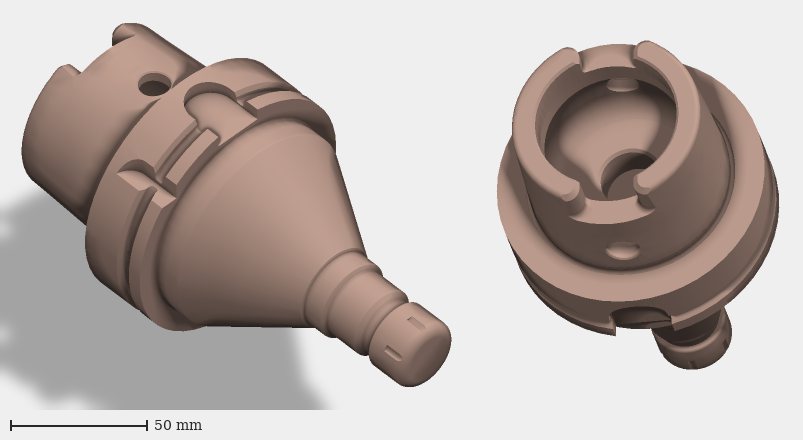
import cadquery as cq
import math

OVERALL_LENGTH = 180.0

NOSE_RADIUS = 35.3
TAPER_END_RADIUS = 37.6
TAPER_END_X = 47.0
NOSE_EDGE_FILLET = 2.0

RELIEF_NECK_RADIUS = 37.5
RELIEF_NECK_START_X = 47.5
RELIEF_NECK_END_X = 49.1
RELIEF_DEPTH = 0.7
RELIEF_OUTER_RADIUS = 39.0

FLANGE_RADIUS = 50.0
FLANGE_START_X = 50.0
FLANGE_END_X = 79.0
GROOVE_MOUTH_START_X = 66.8
GROOVE_MOUTH_END_X = 73.3
GROOVE_HALF_ANGLE = 30.0
GROOVE_SLOT_START_X = 67.9
GROOVE_SLOT_END_X = 71.6
GROOVE_FLOOR_RADIUS = 45.9
GROOVE_FILLET = 1.0

COLLAR_RADIUS = 41.4
COLLAR_ROOT_FILLET = 0.9
CONE_START_X = 89.6
CONE_EDGE_FILLET = 1.5
CONE_END_X = 130.1
CONE_END_RADIUS = 17.3
STEM_START_X = 130.7
STEM_RADIUS = 16.0
STEM_END_X = 139.3
BARREL_RADIUS = 14.0
BARREL_START_X = 140.8
BARREL_END_X = 155.0
NECK_RADIUS = 11.9
NECK_START_X = 157.5
STEP_FILLET = 0.7

BORE_RADIUS = 26.5
BORE_LIP = 0.9
BORE_END_X = 19.5
CHAMBER_RADIUS = 32.0
CHAMBER_FLOOR_X = 48.6
CHAMBER_FLOOR_FILLET = 7.5
PILOT_RADIUS = 11.2
PILOT_CHAMFER = 1.0
PILOT_DEPTH = 14.4

CROSS_HOLE_X = 35.0
CROSS_HOLE_RADIUS = 6.1
CROSS_HOLE_CHAMFER = 0.5

DRIVE_SLOT_WIDTH = 20.2
DRIVE_SLOT_FLARE_RADIUS = 4.9
DRIVE_SLOT_FLARE_START_Z = 27.0
DRIVE_SLOT_FLOOR_FILLET = 2.0
DRIVE_SLOT_MOUTH_CHAMFER = 2.0
DRIVE_SLOT_CHAMFER_ANGLE = 45.0
UPPER_DRIVE_SLOT_DEPTH = 9.9
LOWER_DRIVE_SLOT_DEPTH = 15.0

UPPER_KEYWAY_WIDTH = 20.0
LOWER_KEYWAY_WIDTH = 22.0
KEYWAY_START_X = 54.7
KEYWAY_FLOOR_Z = 44.0
NOTCH_FLOOR_Z = 31.9
NOTCH_WALL_Y = -31.3
NOTCH_END_RADIUS = 8.1

NUT_RADIUS = 14.0
NUT_START_X = 162.2
NUT_REAR_FILLET = 1.0
NUT_FRONT_FILLET = 4.3
WRENCH_SLOT_COUNT = 6
WRENCH_SLOT_RADIUS = 1.8
WRENCH_SLOT_START_X = 169.7
WRENCH_SLOT_DEPTH = 0.7

TOLERANCE = 0.02


def turned(profile):
    """Revolve a closed XY half-profile about the X axis."""
    return profile.close().revolve(360, (0, 0, 0), (1, 0, 0))


def round_ring(body, ring_x, radius):
    """Round the turned edge at a given place along X."""
    ring_zone = cq.selectors.BoxSelector(
        (ring_x - TOLERANCE, -FLANGE_RADIUS, -FLANGE_RADIUS),
        (ring_x + TOLERANCE, FLANGE_RADIUS, FLANGE_RADIUS),
    )
    return body.edges(ring_zone).fillet(radius)


def holder_blank():
    """Solid turned holder, from the nose end to the seat of the nut."""
    relief_mid_x = FLANGE_START_X + RELIEF_DEPTH
    relief_mid_radius = (RELIEF_NECK_RADIUS + RELIEF_OUTER_RADIUS) / 2
    profile = (
        cq.Workplane("XY")
        .moveTo(0, 0)
        .lineTo(0, NOSE_RADIUS - NOSE_EDGE_FILLET)
        .radiusArc((NOSE_EDGE_FILLET, NOSE_RADIUS), NOSE_EDGE_FILLET)
        .lineTo(TAPER_END_X, TAPER_END_RADIUS)
        .lineTo(RELIEF_NECK_START_X, RELIEF_NECK_RADIUS)
        .lineTo(RELIEF_NECK_END_X, RELIEF_NECK_RADIUS)
        .threePointArc((relief_mid_x, relief_mid_radius), (FLANGE_START_X, RELIEF_OUTER_RADIUS))
        .lineTo(FLANGE_START_X, FLANGE_RADIUS)
        .lineTo(FLANGE_END_X, FLANGE_RADIUS)
        .lineTo(FLANGE_END_X, COLLAR_RADIUS + COLLAR_ROOT_FILLET)
        .radiusArc((FLANGE_END_X + COLLAR_ROOT_FILLET, COLLAR_RADIUS), -COLLAR_ROOT_FILLET)
        .lineTo(CONE_START_X, COLLAR_RADIUS)
        .lineTo(CONE_END_X, CONE_END_RADIUS)
        .lineTo(STEM_START_X, STEM_RADIUS)
        .lineTo(STEM_END_X, STEM_RADIUS)
        .lineTo(BARREL_START_X, BARREL_RADIUS)
        .lineTo(BARREL_END_X, BARREL_RADIUS)
        .lineTo(NECK_START_X, NECK_RADIUS)
        .lineTo(NUT_START_X, NECK_RADIUS)
        .lineTo(NUT_START_X, 0)
    )
    blank = turned(profile)
    blank = round_ring(blank, CONE_START_X, CONE_EDGE_FILLET)
    for step_x in (STEM_END_X, BARREL_START_X, BARREL_END_X, NECK_START_X):
        blank = round_ring(blank, step_x, STEP_FILLET)
    return blank


def flange_groove():
    """Ring that cuts a V mouth running into a square slot with rounded floor corners."""
    slope = math.tan(math.radians(GROOVE_HALF_ANGLE))
    start_break_radius = FLANGE_RADIUS - (GROOVE_SLOT_START_X - GROOVE_MOUTH_START_X) / slope
    end_break_radius = FLANGE_RADIUS - (GROOVE_MOUTH_END_X - GROOVE_SLOT_END_X) / slope
    fillet_top_radius = GROOVE_FLOOR_RADIUS + GROOVE_FILLET
    profile = (
        cq.Workplane("XY")
        .moveTo(GROOVE_MOUTH_START_X, FLANGE_RADIUS)
        .lineTo(GROOVE_SLOT_START_X, start_break_radius)
        .lineTo(GROOVE_SLOT_START_X, fillet_top_radius)
        .radiusArc((GROOVE_SLOT_START_X + GROOVE_FILLET, GROOVE_FLOOR_RADIUS), -GROOVE_FILLET)
        .lineTo(GROOVE_SLOT_END_X - GROOVE_FILLET, GROOVE_FLOOR_RADIUS)
        .radiusArc((GROOVE_SLOT_END_X, fillet_top_radius), -GROOVE_FILLET)
        .lineTo(GROOVE_SLOT_END_X, end_break_radius)
        .lineTo(GROOVE_MOUTH_END_X, FLANGE_RADIUS)
    )
    return turned(profile)


def shank_bore():
    """Cutter for the hollow of the shank, coaxial with the holder."""
    fillet_start_x = CHAMBER_FLOOR_X - CHAMBER_FLOOR_FILLET
    fillet_end_radius = CHAMBER_RADIUS - CHAMBER_FLOOR_FILLET
    pilot_end_x = CHAMBER_FLOOR_X + PILOT_DEPTH
    profile = (
        cq.Workplane("XY")
        .moveTo(0, 0)
        .lineTo(0, BORE_RADIUS + BORE_LIP)
        .lineTo(BORE_LIP, BORE_RADIUS)
        .lineTo(BORE_END_X, BORE_RADIUS)
        .lineTo(BORE_END_X, CHAMBER_RADIUS)
        .lineTo(fillet_start_x, CHAMBER_RADIUS)
        .radiusArc((CHAMBER_FLOOR_X, fillet_end_radius), CHAMBER_FLOOR_FILLET)
        .lineTo(CHAMBER_FLOOR_X, PILOT_RADIUS + PILOT_CHAMFER)
        .lineTo(CHAMBER_FLOOR_X + PILOT_CHAMFER, PILOT_RADIUS)
        .lineTo(pilot_end_x, PILOT_RADIUS)
        .lineTo(pilot_end_x, 0)
    )
    return turned(profile)


def drive_slot_outline(margin):
    """Section of a +Z drive slot, widened by a margin; its walls flare out along rounded corners."""
    half = DRIVE_SLOT_WIDTH / 2 + margin
    flare_radius = DRIVE_SLOT_FLARE_RADIUS - margin
    flare_y = half + flare_radius
    flare_z = DRIVE_SLOT_FLARE_START_Z + flare_radius
    return (
        cq.Workplane("YZ")
        .moveTo(-half, 0)
        .lineTo(-half, DRIVE_SLOT_FLARE_START_Z)
        .radiusArc((-flare_y, flare_z), -flare_radius)
        .lineTo(-FLANGE_RADIUS, flare_z)
        .lineTo(-FLANGE_RADIUS, FLANGE_RADIUS)
        .lineTo(FLANGE_RADIUS, FLANGE_RADIUS)
        .lineTo(FLANGE_RADIUS, flare_z)
        .lineTo(flare_y, flare_z)
        .radiusArc((half, DRIVE_SLOT_FLARE_START_Z), -flare_radius)
        .lineTo(half, 0)
        .close()
    )


def drive_slot(depth):
    """Cutter on the +Z side with rounded floor corners and a chamfered mouth."""
    wall_zone = cq.selectors.BoxSelector(
        (depth - TOLERANCE, -FLANGE_RADIUS, TOLERANCE),
        (depth + TOLERANCE, FLANGE_RADIUS, FLANGE_RADIUS - TOLERANCE),
    )
    slot = drive_slot_outline(0).extrude(depth).edges(wall_zone).fillet(DRIVE_SLOT_FLOOR_FILLET)
    mouth = drive_slot_outline(DRIVE_SLOT_MOUTH_CHAMFER).extrude(
        DRIVE_SLOT_MOUTH_CHAMFER, taper=DRIVE_SLOT_CHAMFER_ANGLE
    )
    return slot.union(mouth)


def turned_over(cutter):
    """Turn a +Z side cutter to the -Z side."""
    return cutter.rotate((0, 0, 0), (1, 0, 0), 180)


def cross_hole():
    """Radial pin along Z that cuts both shank walls."""
    return (
        cq.Workplane("XY")
        .center(CROSS_HOLE_X, 0)
        .circle(CROSS_HOLE_RADIUS)
        .extrude(FLANGE_RADIUS, both=True)
    )


def chamfer_cross_hole(shank):
    """Chamfer the rims of the cross hole on the outer taper, but not those inside the chamber."""
    mid_wall_radius = (CHAMBER_RADIUS + TAPER_END_RADIUS) / 2
    rim_zone = cq.selectors.BoxSelector(
        (CROSS_HOLE_X - CROSS_HOLE_RADIUS, -CROSS_HOLE_RADIUS, -FLANGE_RADIUS),
        (CROSS_HOLE_X + CROSS_HOLE_RADIUS, CROSS_HOLE_RADIUS, FLANGE_RADIUS),
    )
    rims = shank.edges(rim_zone).vals()
    outer_rims = [rim for rim in rims if abs(rim.Center().z) > mid_wall_radius]
    return shank.newObject(outer_rims).chamfer(CROSS_HOLE_CHAMFER)


def keyway(width):
    """Cutter for the +Z rim keyway: round at the shank end, open at the front."""
    end_radius = width / 2
    end_center_x = KEYWAY_START_X + end_radius
    return (
        cq.Workplane("XY")
        .workplane(offset=KEYWAY_FLOOR_Z)
        .moveTo(FLANGE_END_X, end_radius)
        .lineTo(end_center_x, end_radius)
        .threePointArc((KEYWAY_START_X, 0), (end_center_x, -end_radius))
        .lineTo(FLANGE_END_X, -end_radius)
        .close()
        .extrude(FLANGE_RADIUS - KEYWAY_FLOOR_Z)
    )


def orientation_notch():
    """Cutter for the notch in the rim between the -Y and +Z sides."""
    end_center_x = KEYWAY_START_X + NOTCH_END_RADIUS
    end_center_y = NOTCH_WALL_Y - NOTCH_END_RADIUS
    return (
        cq.Workplane("XY")
        .workplane(offset=NOTCH_FLOOR_Z)
        .moveTo(FLANGE_END_X, NOTCH_WALL_Y)
        .lineTo(end_center_x, NOTCH_WALL_Y)
        .radiusArc((KEYWAY_START_X, end_center_y), -NOTCH_END_RADIUS)
        .lineTo(KEYWAY_START_X, -FLANGE_RADIUS)
        .lineTo(FLANGE_END_X, -FLANGE_RADIUS)
        .close()
        .extrude(FLANGE_RADIUS - NOTCH_FLOOR_Z)
    )


def make_holder():
    """Tool holder with a hollow taper shank."""
    holder = holder_blank().cut(shank_bore())
    holder = holder.cut(drive_slot(UPPER_DRIVE_SLOT_DEPTH))
    holder = holder.cut(turned_over(drive_slot(LOWER_DRIVE_SLOT_DEPTH)))
    holder = holder.cut(cross_hole())
    holder = chamfer_cross_hole(holder)
    holder = holder.cut(flange_groove())
    holder = holder.cut(keyway(UPPER_KEYWAY_WIDTH))
    holder = holder.cut(turned_over(keyway(LOWER_KEYWAY_WIDTH)))
    return holder.cut(orientation_notch())


def wrench_slot(angle):
    """Round-bottomed cutter along the nut rim, turned about X from the +Z side."""
    axis_height = NUT_RADIUS - WRENCH_SLOT_DEPTH + WRENCH_SLOT_RADIUS
    return (
        cq.Workplane("YZ")
        .workplane(offset=WRENCH_SLOT_START_X)
        .center(0, axis_height)
        .circle(WRENCH_SLOT_RADIUS)
        .extrude(OVERALL_LENGTH - WRENCH_SLOT_START_X)
        .rotate((0, 0, 0), (1, 0, 0), angle)
    )


def make_nut():
    """Clamping nut seated on the end of the holder neck."""
    nut = cq.Workplane("YZ").workplane(offset=NUT_START_X)
    nut = nut.circle(NUT_RADIUS).extrude(OVERALL_LENGTH - NUT_START_X)
    nut = nut.faces("<X").edges().fillet(NUT_REAR_FILLET)
    nut = nut.faces(">X").edges().fillet(NUT_FRONT_FILLET)
    for index in range(WRENCH_SLOT_COUNT):
        nut = nut.cut(wrench_slot(index * 360 / WRENCH_SLOT_COUNT))
    return nut


holder = make_holder()
nut = make_nut()
result = cq.Compound.makeCompound([holder.val(), nut.val()])